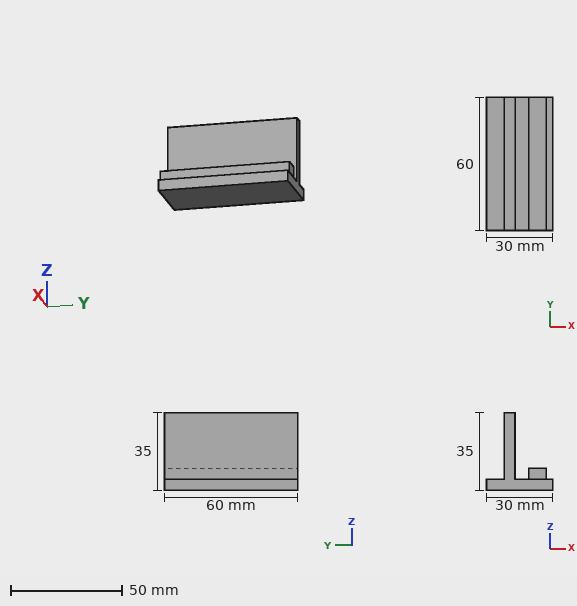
import cadquery as cq

length = 60.0
base_width = 30.0
plate_thickness = 5.0
wall_height = 30.0
wall_offset = 8.0
strip_width = 8.0
strip_height = 5.0
strip_gap = 6.0

base_left = -base_width / 2
wall_left = base_left + wall_offset
strip_left = wall_left + plate_thickness + strip_gap


def full_length_bar(left, bottom, width, height):
    """Rectangular bar running the full length, centred on Y."""
    return (
        cq.Workplane("XY")
        .box(width, length, height, centered=(False, True, False))
        .translate((left, 0, bottom))
    )


def make_tee_profile():
    """Base flange with an upright wall, in one piece."""
    base = full_length_bar(base_left, 0, base_width, plate_thickness)
    wall = full_length_bar(wall_left, plate_thickness, plate_thickness, wall_height)
    return base.union(wall)


def make_strip():
    """Loose strip lying on the base, beside the wall."""
    return full_length_bar(strip_left, plate_thickness, strip_width, strip_height)


tee_profile = make_tee_profile()
strip = make_strip()

result = cq.Compound.makeCompound([tee_profile.val(), strip.val()])